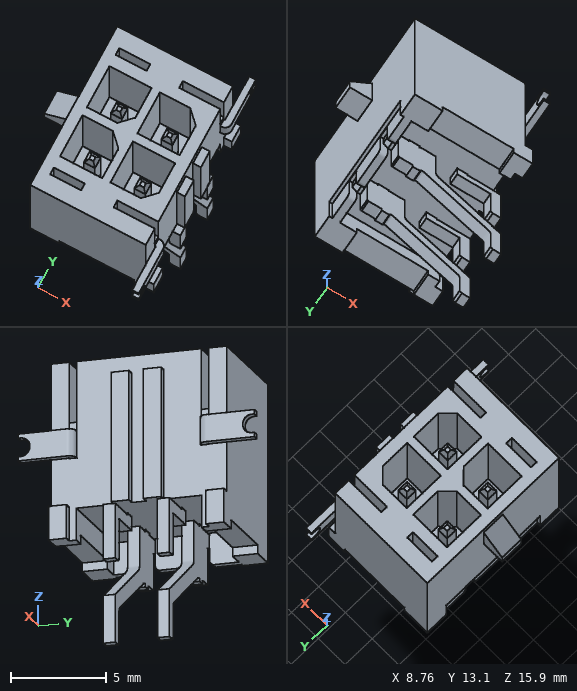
import cadquery as cq
import math


BODY_DEPTH = 6.9
BODY_WIDTH = 9.73
BODY_HEIGHT = 9.89
STANDOFF = 0.48
REAR_X = BODY_DEPTH + STANDOFF

PITCH = 3.0
FRONT_ROW_X = 1.92
REAR_ROW_X = FRONT_ROW_X + PITCH
SIDES = (-1, 1)

TOTAL_HEIGHT = 15.9
SEARCH_MARGIN = 0.003

POCKET_SIZE = 2.51
POCKET_KEY = 0.7
POCKET_FLOOR_Z = 2.86

LATCH_REACH = 1.38
LATCH_WIDTH = 1.42
LATCH_TOP_Z = BODY_HEIGHT - 0.59
LATCH_BOTTOM_Z = BODY_HEIGHT - 2.78

CAVITY_WIDTH = 6.93
CAVITY_CEILING_Z = 1.76
RECESS_DEPTH = 0.2
RECESS_HEIGHT = 1.86
FRONT_WALL_BACK_X = 0.68
SLOT_MOUTH_RADIUS = 0.25
SIDE_NOTCH_START_X = 1.73
SIDE_NOTCH_END_X = 6.19
SIDE_NOTCH_HEIGHT = 0.48

RIB_INNER_Y = 0.4
RIB_WIDTH = 0.99
RIB_TOP_Z = BODY_HEIGHT - 0.97

CLIP_THICKNESS = 0.41
CLIP_HEIGHT = 1.5
CLIP_MIDDLE_Z = 5.3
CLIP_BOTTOM_Z = CLIP_MIDDLE_Z - CLIP_HEIGHT / 2
CLIP_TOP_Z = CLIP_MIDDLE_Z + CLIP_HEIGHT / 2
CLIP_INNER_Y = 3.45
CLIP_OUTER_Y = CLIP_INNER_Y + CLIP_THICKNESS
CLIP_TIP_Y = 6.55
CLIP_START_X = 6.19
CLIP_BEND_RADIUS = 0.4
CLIP_LEG_RISE = 0.48
CLIP_NOTCH_RADIUS = 0.51
CLIP_NOTCH_DEPTH = 0.65
CLIP_SLOT_START_X = 4.45
SPARE_SLOT_START_X = 0.67
SPARE_SLOT_END_X = 2.51
SPARE_SLOT_LEDGE = 0.2

PIN_SIZE = 0.67
PIN_TIP_Z = 7.31
PIN_TAPER_LENGTH = 0.41
PIN_TAPER_INSET = 0.2
PIN_BODY_TOP_Z = 1.67
LEG_SETBACK = 0.03
LEG_RIGHT_X = REAR_X - LEG_SETBACK
LEG_LEFT_X = LEG_RIGHT_X - PIN_SIZE
LEG_CHAMFER = 0.15

FRONT_LEG_BOTTOM_Z = BODY_HEIGHT - TOTAL_HEIGHT
FRONT_BODY_LEFT_X = 0.9
FRONT_BODY_RIGHT_X = 3.26
FRONT_BODY_BOTTOM_Z = -1.2
FRONT_BODY_CHAMFER = 0.08
HOOK_TIP_X = 0.4
HOOK_BOTTOM_Z = 1.16
HOOK_SLOPE = 0.3
BUMP_LEFT_X = 1.81
BUMP_RIGHT_X = 2.3
BUMP_BOTTOM_Z = -1.4
BUMP_FILLET = 0.06
ARM_TOP_END_Z = -3.37
ARM_ANGLE = math.radians(33.0)
ARM_BOTTOM_START_X = 2.48
ARM_BOTTOM_START_Z = -1.24
ARM_BEND_RADIUS = 0.32
ARM_TOP_RADIUS = 0.48
ARM_START_RADIUS = 0.16

REAR_LEG_BOTTOM_Z = -1.35


def block(x_start, x_end, y_start, y_end, z_start, z_end):
    """Box given by its limits along the three axes."""
    size = (x_end - x_start, y_end - y_start, z_end - z_start)
    return cq.Workplane("XY").box(*size, centered=False).translate((x_start, y_start, z_start))


def side_block(side, x_start, x_end, inner_y, outer_y, z_start, z_end):
    """Box at a distance from the symmetry plane, on the chosen side."""
    near, far = sorted((side * inner_y, side * outer_y))
    return block(x_start, x_end, near, far, z_start, z_end)


def side_profile(points, width, middle_y):
    """Closed outline of X, Z points extruded evenly about one Y position."""
    outline = cq.Workplane("XZ").polyline(points).close()
    return outline.extrude(width / 2, both=True).translate((0, middle_y, 0))


def round_corner(body, x, z, radius):
    """Fillet the edge that runs along Y through the given X, Z corner."""
    lower = (x - SEARCH_MARGIN, -BODY_WIDTH, z - SEARCH_MARGIN)
    upper = (x + SEARCH_MARGIN, BODY_WIDTH, z + SEARCH_MARGIN)
    return body.edges(cq.selectors.BoxSelector(lower, upper)).fillet(radius)


def latch():
    points = [
        (0, LATCH_TOP_Z),
        (-LATCH_REACH, LATCH_TOP_Z - LATCH_REACH),
        (-LATCH_REACH, LATCH_BOTTOM_Z),
        (0, LATCH_BOTTOM_Z),
    ]
    return side_profile(points, LATCH_WIDTH, 0)


def pocket(middle_x, side, key_toward_middle):
    """Square mating pocket with one chamfered corner on its +X side."""
    half = POCKET_SIZE / 2
    key_y = -half if key_toward_middle else half
    key_step = math.copysign(POCKET_KEY, key_y)
    points = [
        (-half, key_y),
        (half - POCKET_KEY, key_y),
        (half, key_y - key_step),
        (half, -key_y),
        (-half, -key_y),
    ]
    placed = [(middle_x + x, side * (PITCH / 2 + y)) for x, y in points]
    floor = cq.Workplane("XY").workplane(offset=POCKET_FLOOR_Z)
    return floor.polyline(placed).close().extrude(BODY_HEIGHT - POCKET_FLOOR_Z)


def pin_slot(side):
    """Slot through the front wall with rounded edges at its open bottom."""
    half = PIN_SIZE / 2
    mouth = half + SLOT_MOUTH_RADIUS
    arc_drop = SLOT_MOUTH_RADIUS * (1 - math.sqrt(0.5))
    outline = (
        cq.Workplane("YZ", origin=(0, side * PITCH / 2, 0))
        .moveTo(-mouth, 0)
        .threePointArc((-half - arc_drop, arc_drop), (-half, SLOT_MOUTH_RADIUS))
        .lineTo(-half, CAVITY_CEILING_Z)
        .lineTo(half, CAVITY_CEILING_Z)
        .lineTo(half, SLOT_MOUTH_RADIUS)
        .threePointArc((half + arc_drop, arc_drop), (mouth, 0))
        .close()
    )
    return outline.extrude(FRONT_WALL_BACK_X)


def stem_hole(middle_x, side):
    """Square hole that carries a pin from the cavity into its pocket."""
    half = PIN_SIZE / 2
    middle_y = side * PITCH / 2
    x_limits = (middle_x - half, middle_x + half)
    y_limits = (middle_y - half, middle_y + half)
    return block(*x_limits, *y_limits, CAVITY_CEILING_Z, POCKET_FLOOR_Z)


def clip_slot(side):
    """Slot for a clip, open at the top and at the rear face."""
    return side_block(
        side, CLIP_SLOT_START_X, BODY_DEPTH, CLIP_INNER_Y, CLIP_OUTER_Y, CLIP_BOTTOM_Z, BODY_HEIGHT
    )


def spare_slot(side):
    """Closed slot near the front face, with a ledge at its front end."""
    ledge_x = SPARE_SLOT_START_X + SPARE_SLOT_LEDGE
    lower = side_block(
        side, ledge_x, SPARE_SLOT_END_X, CLIP_INNER_Y, CLIP_OUTER_Y, CLIP_BOTTOM_Z, BODY_HEIGHT
    )
    upper = side_block(
        side, SPARE_SLOT_START_X, ledge_x, CLIP_INNER_Y, CLIP_OUTER_Y, CLIP_TOP_Z, BODY_HEIGHT
    )
    return lower.union(upper)


def make_housing():
    half_width = BODY_WIDTH / 2
    half_cavity = CAVITY_WIDTH / 2
    body = block(0, BODY_DEPTH, -half_width, half_width, 0, BODY_HEIGHT)
    body = body.union(latch())

    body = body.cut(block(0, RECESS_DEPTH, -half_cavity, half_cavity, 0, RECESS_HEIGHT))
    body = body.cut(
        block(FRONT_WALL_BACK_X, BODY_DEPTH, -half_cavity, half_cavity, 0, CAVITY_CEILING_Z)
    )
    body = body.cut(
        block(SIDE_NOTCH_START_X, SIDE_NOTCH_END_X, -half_width, half_width, 0, SIDE_NOTCH_HEIGHT)
    )

    for side in SIDES:
        foot = side_block(side, BODY_DEPTH, REAR_X, CLIP_OUTER_Y, half_width, 0, RECESS_HEIGHT)
        rib_outer_y = RIB_INNER_Y + RIB_WIDTH
        rib = side_block(
            side, BODY_DEPTH, REAR_X, RIB_INNER_Y, rib_outer_y, CAVITY_CEILING_Z, RIB_TOP_Z
        )
        body = body.union(foot).union(rib)
        body = body.cut(pin_slot(side)).cut(clip_slot(side)).cut(spare_slot(side))
        for row_x in (FRONT_ROW_X, REAR_ROW_X):
            body = body.cut(pocket(row_x, side, row_x == FRONT_ROW_X))
            body = body.cut(stem_hole(row_x, side))
    return body


def pin_stem(middle_x, side):
    """Square upright of a pin, from its body to the tapered tip."""
    shoulder_z = PIN_TIP_Z - PIN_TAPER_LENGTH
    tip_size = PIN_SIZE - 2 * PIN_TAPER_INSET
    base = cq.Workplane("XY", origin=(middle_x, side * PITCH / 2, PIN_BODY_TOP_Z))
    shaft = base.rect(PIN_SIZE, PIN_SIZE).extrude(shoulder_z - PIN_BODY_TOP_Z)
    tip = (
        shaft.faces(">Z").workplane()
        .rect(PIN_SIZE, PIN_SIZE)
        .workplane(offset=PIN_TAPER_LENGTH)
        .rect(tip_size, tip_size)
        .loft(combine=False)
    )
    return shaft.union(tip)


def make_front_pin(side):
    """Pin whose leg slopes back under the housing before turning down."""
    slope = math.tan(ARM_ANGLE)
    arm_top_z = ARM_TOP_END_Z + slope * (LEG_RIGHT_X - FRONT_BODY_RIGHT_X)
    arm_bottom_z = ARM_BOTTOM_START_Z - slope * (LEG_LEFT_X - ARM_BOTTOM_START_X)
    hook_underside_z = HOOK_BOTTOM_Z - HOOK_SLOPE
    points = [
        (HOOK_TIP_X, PIN_BODY_TOP_Z),
        (HOOK_TIP_X, HOOK_BOTTOM_Z),
        (HOOK_TIP_X + HOOK_SLOPE, hook_underside_z),
        (FRONT_BODY_LEFT_X, hook_underside_z),
        (FRONT_BODY_LEFT_X, FRONT_BODY_BOTTOM_Z + FRONT_BODY_CHAMFER),
        (FRONT_BODY_LEFT_X + FRONT_BODY_CHAMFER, FRONT_BODY_BOTTOM_Z),
        (BUMP_LEFT_X, FRONT_BODY_BOTTOM_Z),
        (BUMP_LEFT_X, BUMP_BOTTOM_Z),
        (BUMP_RIGHT_X, BUMP_BOTTOM_Z),
        (BUMP_RIGHT_X, ARM_BOTTOM_START_Z),
        (ARM_BOTTOM_START_X, ARM_BOTTOM_START_Z),
        (LEG_LEFT_X, arm_bottom_z),
        (LEG_LEFT_X, FRONT_LEG_BOTTOM_Z + LEG_CHAMFER),
        (LEG_LEFT_X + LEG_CHAMFER, FRONT_LEG_BOTTOM_Z),
        (LEG_RIGHT_X, FRONT_LEG_BOTTOM_Z),
        (LEG_RIGHT_X, ARM_TOP_END_Z),
        (FRONT_BODY_RIGHT_X, arm_top_z),
        (FRONT_BODY_RIGHT_X, PIN_BODY_TOP_Z),
    ]
    pin = side_profile(points, PIN_SIZE, side * PITCH / 2)
    pin = round_corner(pin, BUMP_LEFT_X, FRONT_BODY_BOTTOM_Z, BUMP_FILLET)
    pin = round_corner(pin, BUMP_RIGHT_X, ARM_BOTTOM_START_Z, BUMP_FILLET)
    pin = round_corner(pin, ARM_BOTTOM_START_X, ARM_BOTTOM_START_Z, ARM_START_RADIUS)
    pin = round_corner(pin, LEG_LEFT_X, arm_bottom_z, ARM_BEND_RADIUS)
    pin = round_corner(pin, FRONT_BODY_RIGHT_X, arm_top_z, ARM_TOP_RADIUS)
    return pin.union(pin_stem(FRONT_ROW_X, side))


def make_rear_pin(side):
    """Pin with a level arm under the cavity ceiling and a straight leg."""
    arm_left_x = REAR_ROW_X - PIN_SIZE / 2
    arm_bottom_z = PIN_BODY_TOP_Z - PIN_SIZE
    points = [
        (arm_left_x, PIN_BODY_TOP_Z),
        (arm_left_x, arm_bottom_z),
        (LEG_LEFT_X, arm_bottom_z),
        (LEG_LEFT_X, REAR_LEG_BOTTOM_Z + LEG_CHAMFER),
        (LEG_LEFT_X + LEG_CHAMFER, REAR_LEG_BOTTOM_Z),
        (LEG_RIGHT_X, REAR_LEG_BOTTOM_Z),
        (LEG_RIGHT_X, PIN_BODY_TOP_Z),
    ]
    pin = side_profile(points, PIN_SIZE, side * PITCH / 2)
    return pin.union(pin_stem(REAR_ROW_X, side))


def make_clip(side):
    """Bent strip held in a rear slot, with a round notch in its outer end."""
    arm_x = REAR_X - CLIP_THICKNESS
    arc_inset = CLIP_BEND_RADIUS * (1 - math.sqrt(0.5))
    strip = (
        cq.Workplane("XY", origin=(0, 0, CLIP_BOTTOM_Z))
        .moveTo(CLIP_START_X, side * CLIP_INNER_Y)
        .lineTo(REAR_X - CLIP_BEND_RADIUS, side * CLIP_INNER_Y)
        .threePointArc(
            (REAR_X - arc_inset, side * (CLIP_INNER_Y + arc_inset)),
            (REAR_X, side * (CLIP_INNER_Y + CLIP_BEND_RADIUS)),
        )
        .lineTo(REAR_X, side * CLIP_TIP_Y)
        .lineTo(arm_x, side * CLIP_TIP_Y)
        .lineTo(arm_x, side * CLIP_OUTER_Y)
        .lineTo(CLIP_START_X, side * CLIP_OUTER_Y)
        .close()
        .extrude(CLIP_HEIGHT)
    )
    notch_length = 2 * CLIP_NOTCH_DEPTH
    notch = (
        cq.Workplane("YZ", origin=(arm_x, side * CLIP_TIP_Y, CLIP_MIDDLE_Z))
        .slot2D(notch_length, 2 * CLIP_NOTCH_RADIUS)
        .extrude(CLIP_THICKNESS)
    )
    rise_top_z = CLIP_TOP_Z + CLIP_LEG_RISE
    leg_rise = side_block(
        side, CLIP_START_X, BODY_DEPTH, CLIP_INNER_Y, CLIP_OUTER_Y, CLIP_TOP_Z, rise_top_z
    )
    return strip.cut(notch).union(leg_rise)


housing = make_housing()
front_pins = [make_front_pin(side) for side in SIDES]
rear_pins = [make_rear_pin(side) for side in SIDES]
clips = [make_clip(side) for side in SIDES]

bodies = [housing, *front_pins, *rear_pins, *clips]
result = cq.Compound.makeCompound([body.val() for body in bodies])